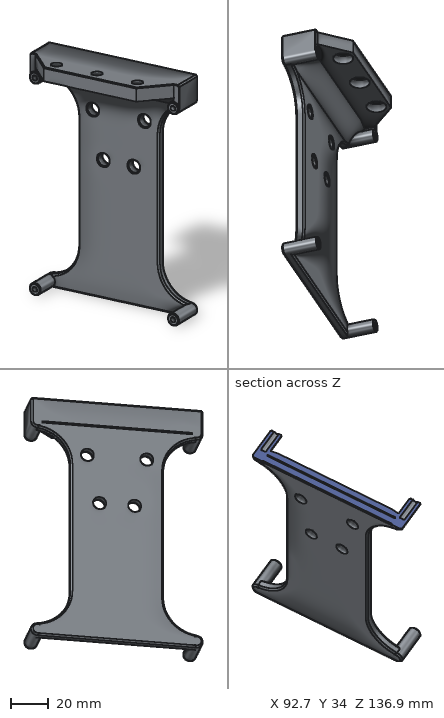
import cadquery as cq

width = 92.7
height = 136.9
depth = 34.0

plate_thickness = 5.0
shaft_half_width = 25.0
corner_radius = 20.0
edge_chamfer = 1.0

post_diameter = 7.0
post_radius = post_diameter / 2
post_length = 20.0
post_pitch_z = 119.9
post_x = width / 2 - post_radius
lower_post_z = post_radius
upper_post_z = lower_post_z + post_pitch_z
post_chamfer = 0.5
pilot_diameter = 2.9
pilot_depth = 13.7

block_depth = 19.3
block_front_chamfer = 0.4
flange_thickness = 8.0
flange_bottom = height - flange_thickness
flange_front_half_width = 28.6
flange_chamfer = 0.5
flange_hole_diameter = 6.0
flange_hole_pitch = 25.0
counterbore_diameter = 10.5
counterbore_roof = 3.0
flange_hole_y = -27.0

gusset_base_z = 119.1
gusset_base_half_width = 35.6
gusset_top_half_width = 34.0
gusset_side_z = 120.2
gusset_top_y = -14.9

facet_rise = (gusset_side_z - gusset_base_z) / (post_x - gusset_base_half_width)
facet_foot_z = gusset_base_z - facet_rise * (gusset_base_half_width - gusset_top_half_width)
facet_slope = (gusset_top_y + plate_thickness) / (flange_bottom - facet_foot_z)
gusset_side_top_y = -plate_thickness + facet_slope * (flange_bottom - gusset_side_z)

plate_hole_diameter = 7.0
plate_hole_chamfer = 0.5
plate_hole_rows = [(16.0, 106.0), (9.5, 78.7)]


def rod(x, z, diameter, length, start=0.0):
    """Cylinder running toward -Y from Y = -start."""
    return (
        cq.Workplane("XZ", origin=(x, -start, z))
        .circle(diameter / 2)
        .extrude(length)
    )


def box(x_size, y_front, y_back, z_low, z_high):
    """Box centred on X."""
    return (
        cq.Workplane("XY", origin=(0, (y_front + y_back) / 2, z_low))
        .rect(x_size, y_back - y_front)
        .extrude(z_high - z_low)
    )


def make_plate():
    """Waisted plate with four concave corners and bevelled rims."""
    plate = box(2 * post_x, -plate_thickness, 0, 0, upper_post_z)
    waist_x = shaft_half_width + corner_radius
    waist_low = lower_post_z + post_radius + corner_radius
    waist_high = upper_post_z - post_radius - corner_radius
    for side in (-1, 1):
        for z in (waist_low, waist_high):
            plate = plate.cut(rod(side * waist_x, z, 2 * corner_radius, plate_thickness))
        waist = box(2 * corner_radius, -plate_thickness, 0, waist_low, waist_high)
        plate = plate.cut(waist.translate((side * waist_x, 0, 0)))
    return plate.faces("<Y or >Y").chamfer(edge_chamfer)


def make_posts():
    posts = cq.Workplane("XY")
    for x in (-post_x, post_x):
        for z in (lower_post_z, upper_post_z):
            post = rod(x, z, post_diameter, post_length)
            post = post.faces("<Y").chamfer(post_chamfer).faces(">Y").chamfer(edge_chamfer)
            posts = posts.add(post)
    return posts.combine()


def flange_cylinders(diameter, length):
    """Row of three cylinders rising from the underside of the flange."""
    return (
        cq.Workplane("XY", origin=(0, flange_hole_y, flange_bottom))
        .rarray(flange_hole_pitch, 1.4, 3, 1)
        .circle(diameter / 2)
        .extrude(length)
    )


def make_top_block():
    """Bevelled block, hollow between its side walls, with a tapered flange."""
    block = box(width, -block_depth, 0, upper_post_z, height)
    block = block.edges("(|Z or >Z) and (not <Y)").chamfer(edge_chamfer)
    block = block.faces("<Y").edges("not <Z").chamfer(block_front_chamfer)
    flange = (
        cq.Workplane("XY", origin=(0, 0, flange_bottom))
        .polyline([
            (-post_x, -plate_thickness),
            (-post_x, -block_depth),
            (-flange_front_half_width, -depth),
            (flange_front_half_width, -depth),
            (post_x, -block_depth),
            (post_x, -plate_thickness),
        ])
        .close()
        .extrude(flange_thickness)
    )
    flange = flange.faces(">Z").edges("not (>Y or |Y)").chamfer(flange_chamfer)
    hollow = box(2 * post_x, -block_depth, -plate_thickness, upper_post_z, flange_bottom)
    holes = flange_cylinders(flange_hole_diameter, flange_thickness)
    counterbores = flange_cylinders(counterbore_diameter, flange_thickness - counterbore_roof)
    return block.cut(hollow).union(flange).cut(holes).cut(counterbores)


def planar_face(points):
    vectors = [cq.Vector(*point) for point in points]
    return cq.Face.makeFromWires(cq.Wire.makePolygon(vectors, close=True))


def make_gusset():
    """Solid with a wide sloping face and a slightly turned facet at each end."""
    front = -plate_thickness
    base = [(side * gusset_base_half_width, front, gusset_base_z) for side in (-1, 1)]
    top = [(side * gusset_top_half_width, gusset_top_y, flange_bottom) for side in (-1, 1)]
    side_low = [(side * post_x, front, gusset_side_z) for side in (-1, 1)]
    side_top = [(side * post_x, gusset_side_top_y, flange_bottom) for side in (-1, 1)]
    side_back = [(side * post_x, front, flange_bottom) for side in (-1, 1)]
    faces = [
        planar_face([base[0], base[1], top[1], top[0]]),
        planar_face([side_back[0], side_top[0], top[0], top[1], side_top[1], side_back[1]]),
        planar_face([side_back[0], side_low[0], base[0], base[1], side_low[1], side_back[1]]),
    ]
    for i in (0, 1):
        faces.append(planar_face([side_low[i], side_top[i], side_back[i]]))
        faces.append(planar_face([base[i], top[i], side_top[i], side_low[i]]))
    return cq.Workplane(obj=cq.Solid.makeSolid(cq.Shell.makeShell(faces)))


def cut_plate_holes(body):
    """Through holes with a small countersink at the front face."""
    for half_spacing, z in plate_hole_rows:
        for x in (-half_spacing, half_spacing):
            body = body.cut(rod(x, z, plate_hole_diameter, plate_thickness))
            countersink = cq.Solid.makeCone(
                plate_hole_diameter / 2 + plate_hole_chamfer,
                plate_hole_diameter / 2,
                plate_hole_chamfer,
                pnt=cq.Vector(x, -plate_thickness, z),
                dir=cq.Vector(0, 1, 0),
            )
            body = body.cut(cq.Workplane(obj=countersink))
    return body


def cut_pilot_holes(body):
    """Blind screw holes in the post ends."""
    for x in (-post_x, post_x):
        for z in (lower_post_z, upper_post_z):
            start = post_length - pilot_depth
            body = body.cut(rod(x, z, pilot_diameter, pilot_depth, start))
    return body


body = make_plate().union(make_posts()).union(make_top_block()).union(make_gusset())
result = cut_pilot_holes(cut_plate_holes(body))